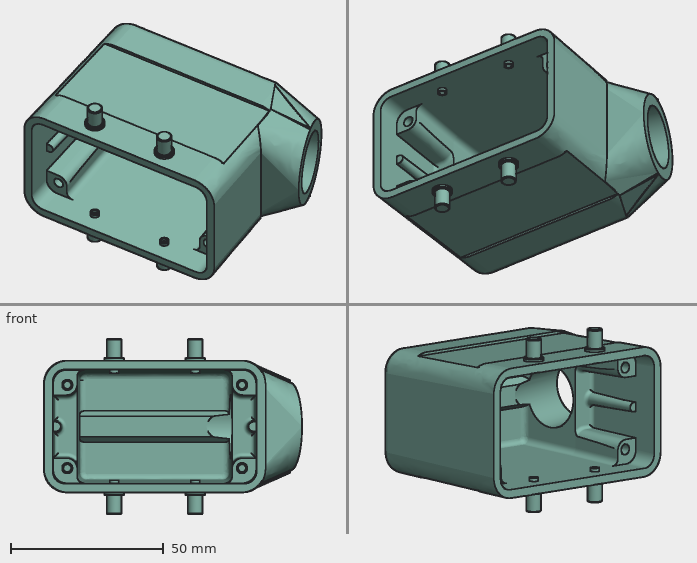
import cadquery as cq
import math


MOUTH_LENGTH = 72.5
MOUTH_WIDTH = 43.2
HOOD_HEIGHT = 57.1
CORNER_RADIUS = 7.6
ROOF_FILLET = 3.5
OUTER_DRAFT = 0.9

PANEL_BOTTOM = 12.9
PANEL_TOP = 42.9
PANEL_DEPTH = 0.9

WALL = 2.9
INNER_CORNER_RADIUS = 4.2
INNER_DRAFT = 1.5
SCREW_POST_END = 8.9
LEDGE_DEPTH = 30.0
POCKET_DEPTH = 54.1
POCKET_HALF_LENGTH = 25.35
POCKET_FLOOR_HALF_LENGTH = 24.3
POCKET_CORNER_RADIUS = 2.2
POCKET_FILLET = 1.9
LEDGE_FILLET = 1.3

SCREW_X = 28.6
SCREW_Z = 13.6
POST_HALF_GAP = 10.3
POST_RADIUS = 3.4
SCREW_HOLE_MOUTH = 3.5
SCREW_HOLE_BOTTOM = 2.5
SCREW_HOLE_DEPTH = 16.9
GUIDE_RADIUS = 1.5
GUIDE_TIP_X = 30.7
GUIDE_FLARE = 1.3

ROOF_RIB_HEIGHT = 3.6
ROOF_RIB_BASE = 10.3
ROOF_RIB_CREST = 6.8

PIN_X = 13.3
PIN_Y = 6.5
PIN_DIAMETER = 4.9
PIN_SPAN = 57.5
PIN_CHAMFER = 0.3
COLLAR_DIAMETER = 6.5
COLLAR_TOP_DIAMETER = 6.0
COLLAR_HEIGHT = 0.9
RIVET_DIAMETER = 3.0
RIVET_HOLE_DIAMETER = 1.9
RIVET_TIP_Z = 17.5

ENTRY_TILT = 16.0
ENTRY_DIAMETER = 28.7
ENTRY_BORE = 21.0
ENTRY_BORE_DEPTH = 48.2
ENTRY_REACH_X = 48.3
ENTRY_REACH_Y = 61.2
ROOT_TOP = (25.4, HOOD_HEIGHT)
ROOT_SHOULDER = (31.7, 43.3)
ROOT_KNEE = (31.8, 35.0)
ROOT_BOTTOM = (35.7, 30.6)
ROOT_HALF_WIDTH = 20.7
KNEE_HALF_WIDTH = 19.9
LOWER_CORNER_HALF_WIDTH = 17.9
BOTTOM_HALF_WIDTH = 13.1
CHEEK_TIP_Z = 15.1
CHEEK_THICKNESS = 2.5

ARC_MIDPOINT = math.sqrt(0.5)

HALF_WIDTH = MOUTH_WIDTH / 2
INNER_LENGTH = MOUTH_LENGTH - 2 * WALL
INNER_WIDTH = MOUTH_WIDTH - 2 * WALL
OUTER_SLOPE = math.tan(math.radians(OUTER_DRAFT))
INNER_SLOPE = math.tan(math.radians(INNER_DRAFT))


def level(y):
    """Sketch plane parallel to the mouth, facing into the hood."""
    return cq.Workplane(cq.Plane(origin=(0, y, 0), xDir=(1, 0, 0), normal=(0, 1, 0)))


def rounded_loft(start_y, end_y, start_size, end_size, radius):
    """Block between two rounded rectangles, each given as (X length, Z width), of equal corner radius."""
    start, end = (cq.Sketch().rect(*size).vertices().fillet(radius) for size in (start_size, end_size))
    return level(start_y).placeSketch(start, end.moved(z=end_y - start_y)).loft(ruled=True)


def both_sides(solid):
    """The solid together with its mirror image across Z = 0."""
    return solid.union(solid.mirror("XY"))


def hood_body():
    narrowing = 2 * HOOD_HEIGHT * OUTER_SLOPE
    mouth_size = (MOUTH_LENGTH, MOUTH_WIDTH)
    roof_size = (MOUTH_LENGTH - narrowing, MOUTH_WIDTH - narrowing)
    body = rounded_loft(0, HOOD_HEIGHT, mouth_size, roof_size, CORNER_RADIUS)
    return body.faces(">Y").edges().fillet(ROOF_FILLET)


def side_panels():
    """Cutters whose floors follow the draft of the broad sides."""
    floor_bottom = HALF_WIDTH - PANEL_DEPTH - PANEL_BOTTOM * OUTER_SLOPE
    floor_top = HALF_WIDTH - PANEL_DEPTH - PANEL_TOP * OUTER_SLOPE
    outline = [
        (PANEL_BOTTOM, floor_bottom),
        (PANEL_TOP, floor_top),
        (PANEL_TOP, HALF_WIDTH),
        (PANEL_BOTTOM, HALF_WIDTH),
    ]
    cutter = cq.Workplane("YZ").polyline(outline).close().extrude(MOUTH_LENGTH / 2, both=True)
    return both_sides(cutter)


def inner_width(y):
    """Clear width of the drafted cavity at height y."""
    return INNER_WIDTH - 2 * y * INNER_SLOPE


def mouth_cavity():
    narrowing = 2 * SCREW_POST_END * INNER_SLOPE
    mouth_size = (INNER_LENGTH, INNER_WIDTH)
    end_size = (INNER_LENGTH - narrowing, INNER_WIDTH - narrowing)
    return rounded_loft(0, SCREW_POST_END, mouth_size, end_size, INNER_CORNER_RADIUS)


def pocket():
    """Deep centre of the cavity, tapering below the ledges, with a rib left along its floor."""
    post_size = (2 * POCKET_HALF_LENGTH, inner_width(SCREW_POST_END))
    ledge_size = (2 * POCKET_HALF_LENGTH, inner_width(LEDGE_DEPTH))
    floor_size = (2 * POCKET_FLOOR_HALF_LENGTH, inner_width(POCKET_DEPTH))
    passage = rounded_loft(SCREW_POST_END, LEDGE_DEPTH, post_size, ledge_size, POCKET_CORNER_RADIUS)
    block = rounded_loft(LEDGE_DEPTH, POCKET_DEPTH, ledge_size, floor_size, POCKET_CORNER_RADIUS)
    block = block.faces(">Y").edges().fillet(POCKET_FILLET).union(passage)
    crest_y = POCKET_DEPTH - ROOF_RIB_HEIGHT
    rib_outline = [
        (POCKET_DEPTH, -ROOF_RIB_BASE / 2),
        (crest_y, -ROOF_RIB_CREST / 2),
        (crest_y, ROOF_RIB_CREST / 2),
        (POCKET_DEPTH, ROOF_RIB_BASE / 2),
    ]
    rib = cq.Workplane("YZ").polyline(rib_outline).close().extrude(MOUTH_LENGTH / 2, both=True)
    return block.cut(rib)


def end_bay():
    """Space between the two screw posts of the +X end, down to the ledge, around the guide rib."""
    wall_x = INNER_LENGTH / 2 - SCREW_POST_END * INNER_SLOPE
    inner_x = POCKET_HALF_LENGTH - POST_RADIUS
    wide = POST_HALF_GAP + POST_RADIUS
    arc_offset = POST_RADIUS * (1 - ARC_MIDPOINT)
    arc_mid_x = POCKET_HALF_LENGTH + arc_offset
    arc_mid_z = POST_HALF_GAP + arc_offset
    arc_end_x = POCKET_HALF_LENGTH + POST_RADIUS
    bay = (
        level(SCREW_POST_END)
        .moveTo(inner_x, -wide)
        .lineTo(POCKET_HALF_LENGTH, -wide)
        .threePointArc((arc_mid_x, -arc_mid_z), (arc_end_x, -POST_HALF_GAP))
        .lineTo(wall_x, -POST_HALF_GAP)
        .lineTo(wall_x, POST_HALF_GAP)
        .lineTo(arc_end_x, POST_HALF_GAP)
        .threePointArc((arc_mid_x, arc_mid_z), (POCKET_HALF_LENGTH, wide))
        .lineTo(inner_x, wide)
        .close()
        .extrude(LEDGE_DEPTH - SCREW_POST_END, taper=INNER_DRAFT)
    )
    return bay.faces(">Y").edges().fillet(LEDGE_FILLET).cut(guide_rib())


def guide_rib():
    """Round-nosed rib on the +X end wall, flaring into the ledge with a fillet."""
    center_x = GUIDE_TIP_X + GUIDE_RADIUS
    height = LEDGE_DEPTH - SCREW_POST_END
    foot_radius = GUIDE_RADIUS + height * INNER_SLOPE
    flare_start = height - GUIDE_FLARE
    arc_in = GUIDE_FLARE * (1 - ARC_MIDPOINT)
    nose = (
        cq.Workplane("XY")
        .lineTo(GUIDE_RADIUS, 0)
        .lineTo(foot_radius, flare_start)
        .threePointArc((foot_radius + arc_in, height - arc_in), (foot_radius + GUIDE_FLARE, height))
        .lineTo(0, height)
        .close()
        .revolve(360, (0, 0), (0, 1))
        .translate((center_x, SCREW_POST_END, 0))
    )
    root = level(SCREW_POST_END).center(center_x + GUIDE_RADIUS, 0).rect(2 * GUIDE_RADIUS, 2 * GUIDE_RADIUS)
    return nose.union(root.extrude(height))


def screw_holes():
    """Tapered blind holes in the four screw posts."""
    centers = level(SCREW_POST_END).rect(2 * SCREW_X, 2 * SCREW_Z, forConstruction=True).vertices()
    draft = math.degrees(math.atan((SCREW_HOLE_MOUTH - SCREW_HOLE_BOTTOM) / 2 / SCREW_HOLE_DEPTH))
    return centers.circle(SCREW_HOLE_MOUTH / 2).extrude(SCREW_HOLE_DEPTH, taper=draft)


def locking_pin(x):
    """Pin on the +Z side: collar outside, riveted tail with a blind hole inside."""
    outer_z = HALF_WIDTH
    tip_z = PIN_SPAN / 2
    embed_z = HALF_WIDTH - WALL / 2
    collar_bevel = (COLLAR_DIAMETER - COLLAR_TOP_DIAMETER) / 2
    collar_top_z = outer_z + COLLAR_HEIGHT
    profile = [
        (0, embed_z),
        (0, tip_z),
        (PIN_DIAMETER / 2 - PIN_CHAMFER, tip_z),
        (PIN_DIAMETER / 2, tip_z - PIN_CHAMFER),
        (PIN_DIAMETER / 2, collar_top_z),
        (COLLAR_TOP_DIAMETER / 2, collar_top_z),
        (COLLAR_DIAMETER / 2, collar_top_z - collar_bevel),
        (COLLAR_DIAMETER / 2, embed_z),
    ]
    pin = cq.Workplane("XZ").polyline(profile).close().revolve(360, (0, 0), (0, 1))
    tail = cq.Workplane("XY").workplane(offset=RIVET_TIP_Z).circle(RIVET_DIAMETER / 2)
    hole = cq.Workplane("XY").workplane(offset=RIVET_TIP_Z).circle(RIVET_HOLE_DIAMETER / 2)
    pin = pin.union(tail.extrude(embed_z - RIVET_TIP_Z))
    pin = pin.cut(hole.extrude(embed_z - RIVET_TIP_Z))
    return pin.translate((x, PIN_Y, 0))


TILT = math.radians(ENTRY_TILT)
ENTRY_RADIUS = ENTRY_DIAMETER / 2
UP = cq.Vector(-math.sin(TILT), math.cos(TILT), 0)
OUT = cq.Vector(math.cos(TILT), math.sin(TILT), 0)
SIDE = cq.Vector(0, 0, 1)
FACE_CENTER = cq.Vector(
    ENTRY_REACH_X - ENTRY_RADIUS * math.sin(TILT),
    ENTRY_REACH_Y - ENTRY_RADIUS * math.cos(TILT),
    0,
)


def face_point(angle):
    """Point on the rim of the entry face; angle in degrees from +Z towards the roof."""
    turn = math.radians(angle)
    return FACE_CENTER + SIDE * (ENTRY_RADIUS * math.cos(turn)) + UP * (ENTRY_RADIUS * math.sin(turn))


def flat_face(*points):
    return cq.Face.makeFromWires(cq.Wire.makePolygon(list(points), close=True))


def mirrored(points):
    """Points mirrored to the -Z side."""
    return [cq.Vector(point.x, point.y, -point.z) for point in points]


SHOULDER = cq.Vector(*ROOT_SHOULDER, ROOT_HALF_WIDTH)
KNEE = cq.Vector(*ROOT_KNEE, KNEE_HALF_WIDTH)
BOTTOM_END = cq.Vector(*ROOT_BOTTOM, BOTTOM_HALF_WIDTH)
LOWER_MID = cq.Vector(*ROOT_KNEE, 0).add(cq.Vector(*ROOT_BOTTOM, 0)) / 2 + SIDE * LOWER_CORNER_HALF_WIDTH
ROOF_CENTER = cq.Vector(*ROOT_TOP, 0)
ROOT_DOWN = (cq.Vector(*ROOT_SHOULDER, 0) - ROOF_CENTER).normalized()
ROOF_END = ROOF_CENTER + SIDE * (ROOT_HALF_WIDTH - ROOF_FILLET)
SIDE_TOP = ROOF_CENTER + SIDE * ROOT_HALF_WIDTH + ROOT_DOWN * ROOF_FILLET
UPPER_MID = ROOF_END + ROOT_DOWN * ROOF_FILLET + (SIDE - ROOT_DOWN) * (ROOF_FILLET * ARC_MIDPOINT)


def cable_entry():
    """Transition from a folded, round-cornered root to a round face: flat triangles and cone corners."""
    upper = [SIDE_TOP, UPPER_MID, ROOF_END]
    lower = [BOTTOM_END, LOWER_MID, KNEE]
    corners = [upper, mirrored(upper)[::-1], mirrored(lower)[::-1], lower]
    corner_arcs = [cq.Edge.makeThreePointArc(*path) for path in corners]
    upper_arc, upper_arc_back, lower_arc_back, lower_arc = corner_arcs

    faces = []
    rim_edges = []
    for index, root_edge in enumerate(corner_arcs):
        angle = 90 * index
        rim_edge = cq.Edge.makeThreePointArc(*(face_point(angle + step) for step in (0, 45, 90)))
        faces.append(cq.Face.makeRuledSurface(root_edge, rim_edge))
        rim_edges.append(rim_edge)

    roof_end_back, side_top_back, shoulder_back, knee_back, bottom_end_back = mirrored(
        [ROOF_END, SIDE_TOP, SHOULDER, KNEE, BOTTOM_END]
    )
    faces += [
        flat_face(ROOF_END, roof_end_back, face_point(90)),
        flat_face(BOTTOM_END, bottom_end_back, face_point(270)),
        flat_face(SIDE_TOP, SHOULDER, face_point(0)),
        flat_face(SHOULDER, KNEE, face_point(0)),
        flat_face(side_top_back, shoulder_back, face_point(180)),
        flat_face(shoulder_back, knee_back, face_point(180)),
    ]

    line = cq.Edge.makeLine
    shoulder_fold = line(SHOULDER, shoulder_back)
    knee_fold = line(KNEE, knee_back)
    upper_strip = [
        upper_arc,
        line(ROOF_END, roof_end_back),
        upper_arc_back,
        line(side_top_back, shoulder_back),
        shoulder_fold,
        line(SHOULDER, SIDE_TOP),
    ]
    middle_strip = [shoulder_fold, line(shoulder_back, knee_back), knee_fold, line(KNEE, SHOULDER)]
    lower_strip = [knee_fold, lower_arc_back, line(bottom_end_back, BOTTOM_END), lower_arc]
    for edges in (rim_edges, upper_strip, middle_strip, lower_strip):
        faces.append(cq.Face.makeFromWires(cq.Wire.assembleEdges(edges)))
    return cq.Workplane(cq.Solid.makeSolid(cq.Shell.makeShell(faces)))


def entry_clearance():
    """Upper corner of the hood outside the folded root, removed to make room for the cable entry."""
    outer_corner = (ROOT_TOP[0] + MOUTH_WIDTH, ROOT_TOP[1])
    outer_bottom = (ROOT_TOP[0] + MOUTH_WIDTH, ROOT_BOTTOM[1])
    outline = [ROOT_TOP, ROOT_SHOULDER, ROOT_KNEE, ROOT_BOTTOM, outer_bottom, outer_corner]
    return cq.Workplane("XY").polyline(outline).close().extrude(HALF_WIDTH, both=True)


def entry_cheek():
    """Raised triangular web on the +Z flank of the cable entry."""
    tip = cq.Vector(FACE_CENTER.x, FACE_CENTER.y, CHEEK_TIP_Z)
    web = flat_face(SIDE_TOP, SHOULDER, tip)
    return cq.Workplane(cq.Solid.extrudeLinear(web, cq.Vector(0, 0, -CHEEK_THICKNESS)))


def entry_bore():
    """Bore from the entry face into the pocket, running out through the roof rib."""
    plane = cq.Plane(origin=FACE_CENTER.toTuple(), xDir=(0, 0, 1), normal=(-OUT).toTuple())
    return cq.Workplane(plane).circle(ENTRY_BORE / 2).extrude(ENTRY_BORE_DEPTH)


right_bay = end_bay()
result = hood_body().cut(side_panels()).cut(entry_clearance())
result = result.union(cable_entry())
result = result.union(both_sides(entry_cheek()))
for cutter in (mouth_cavity(), pocket(), right_bay, right_bay.mirror("YZ"), screw_holes(), entry_bore()):
    result = result.cut(cutter)
for pin_x in (-PIN_X, PIN_X):
    result = result.union(both_sides(locking_pin(pin_x)))
result = result.solids()